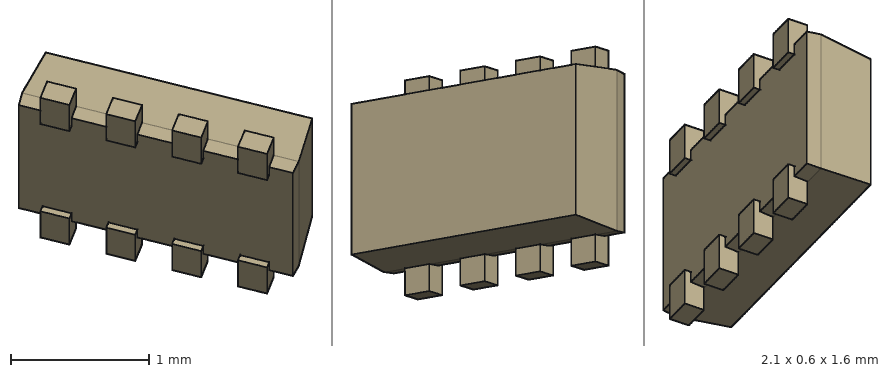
import cadquery as cq
import math

body_length = 2.1
body_height = 1.2
lead_span = 1.6
package_depth = 0.6
draft_angle = 5.0

leads_per_row = 4
lead_pitch = 0.5
lead_width = 0.22
lead_length = 0.3
lead_thickness = 0.16
standoff = 0.05

parting_y = lead_thickness
front_depth = parting_y - standoff
back_depth = package_depth - parting_y


def drafted_block(depth, direction):
    """Block narrowing away from the parting plane; direction is +1 towards +Y, -1 towards -Y."""
    inset = depth * math.tan(math.radians(draft_angle))
    return (
        cq.Workplane("XZ", origin=(0, parting_y, 0))
        .rect(body_length, body_height)
        .workplane(offset=-direction * depth)
        .rect(body_length - 2 * inset, body_height - 2 * inset)
        .loft(ruled=True)
    )


def make_lead(x, row):
    """Rectangular lead at x, with its tip at the lead span; row is +1 for the +Z row, -1 for the -Z row."""
    lead_z = row * (lead_span - lead_length) / 2
    lead = cq.Workplane("XY").box(lead_width, lead_thickness, lead_length)
    return lead.translate((x, lead_thickness / 2, lead_z))


def make_body(leads):
    """Molded body drafted both ways from its parting plane, notched where the leads enter it."""
    body = drafted_block(front_depth, -1).union(drafted_block(back_depth, 1))
    for lead in leads:
        body = body.cut(lead)
    return body.solids()


leads = []
for row in (-1, 1):
    for index in range(leads_per_row):
        lead_x = (index - (leads_per_row - 1) / 2) * lead_pitch
        leads.append(make_lead(lead_x, row))

body = make_body(leads)

result = cq.Compound.makeCompound([body.val(), *[lead.val() for lead in leads]])